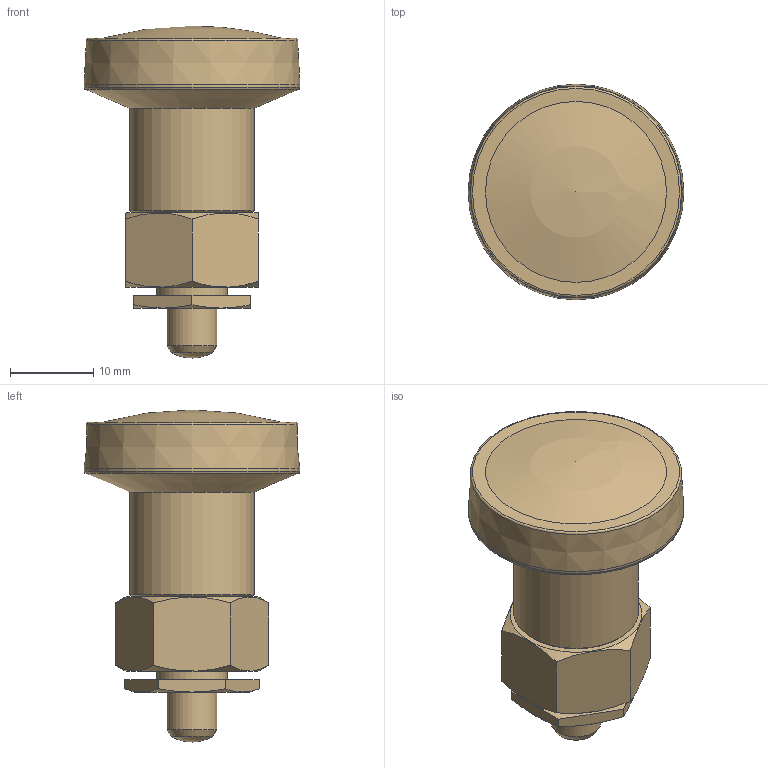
import cadquery as cq
import math

PIN_CONE_BOTTOM_Z = 0.65
PIN_CONE_TOP_Z = 1.5
LOCKNUT_BOTTOM_Z = 6.0
LOCKNUT_TOP_Z = 7.5
HEX_BOTTOM_Z = 8.5
HEX_TOP_Z = 17.5
KNOB_NECK_Z = 30.1
RIM_BOTTOM_Z = 32.4
RIM_BAND_BOTTOM_Z = 32.65
RIM_BAND_TOP_Z = 32.95
KNOB_FACE_Z = 38.5
TOTAL_HEIGHT = 40.0

PIN_DIAMETER = 6.0
PIN_CONE_END_DIAMETER = 5.0
SHANK_DIAMETER = 8.5
SLEEVE_DIAMETER = 15.0
RIM_DIAMETER = 26.0
KNOB_FACE_EDGE_DIAMETER = 25.45
DOME_DIAMETER = 21.8

HEX_ACROSS_FLATS = 16.0
HEX_CROWN_DIAMETER = 15.9
HEX_CROWN_ANGLE = 30.0
LOCKNUT_ACROSS_FLATS = 14.0
LOCKNUT_CROWN_DIAMETER = 13.9
LOCKNUT_CROWN_ANGLE = 20.0

FLATS_TO_X_TURN = 30.0

SLEEVE_CHAMFER = 0.25
KNOB_FACE_FILLET = 0.25
RIM_EDGE_STEP = 0.1


def revolve_profile(profile):
    """Turn a closed half profile (local x = radius, local y = height) about Z."""
    return profile.close().revolve(360, (0, 0, 0), (0, 1, 0))


def dome_point(end_radius, end_z, apex_z):
    """Point halfway along the arc of a spherical cap from its edge to its apex on the axis."""
    sag = apex_z - end_z
    sphere_radius = (end_radius**2 + sag**2) / (2 * abs(sag))
    half_angle = math.asin(end_radius / sphere_radius) / 2
    drop = math.copysign(sphere_radius * (1 - math.cos(half_angle)), sag)
    return sphere_radius * math.sin(half_angle), apex_z - drop


def make_knob():
    """Domed mushroom knob with a conical underside running down to the sleeve."""
    rim_radius = RIM_DIAMETER / 2
    face_edge_radius = KNOB_FACE_EDGE_DIAMETER / 2
    dome_radius = DOME_DIAMETER / 2
    profile = (
        cq.Workplane("XZ")
        .moveTo(0, KNOB_NECK_Z)
        .lineTo(SLEEVE_DIAMETER / 2, KNOB_NECK_Z)
        .lineTo(rim_radius - RIM_EDGE_STEP, RIM_BOTTOM_Z)
        .lineTo(rim_radius, RIM_BAND_BOTTOM_Z)
        .lineTo(rim_radius, RIM_BAND_TOP_Z)
        .lineTo(face_edge_radius, KNOB_FACE_Z - KNOB_FACE_FILLET)
        .radiusArc((face_edge_radius - KNOB_FACE_FILLET, KNOB_FACE_Z), -KNOB_FACE_FILLET)
        .lineTo(dome_radius, KNOB_FACE_Z)
        .threePointArc(dome_point(dome_radius, KNOB_FACE_Z, TOTAL_HEIGHT), (0, TOTAL_HEIGHT))
    )
    return revolve_profile(profile)


def make_sleeve():
    """Cylindrical grip between hexagon and knob, chamfered at its lower edge."""
    sleeve = (
        cq.Workplane("XY")
        .workplane(offset=HEX_TOP_Z)
        .circle(SLEEVE_DIAMETER / 2)
        .extrude(KNOB_NECK_Z - HEX_TOP_Z)
    )
    return sleeve.faces("<Z").edges().chamfer(SLEEVE_CHAMFER)


def make_pin():
    """Locking pin with a conical lead-in and a domed tip, topped by the wider shank."""
    pin_radius = PIN_DIAMETER / 2
    cone_end_radius = PIN_CONE_END_DIAMETER / 2
    shank_radius = SHANK_DIAMETER / 2
    profile = (
        cq.Workplane("XZ")
        .moveTo(0, 0)
        .threePointArc(
            dome_point(cone_end_radius, PIN_CONE_BOTTOM_Z, 0),
            (cone_end_radius, PIN_CONE_BOTTOM_Z),
        )
        .lineTo(pin_radius, PIN_CONE_TOP_Z)
        .lineTo(pin_radius, LOCKNUT_BOTTOM_Z)
        .lineTo(shank_radius, LOCKNUT_BOTTOM_Z)
        .lineTo(shank_radius, HEX_BOTTOM_Z)
        .lineTo(0, HEX_BOTTOM_Z)
    )
    return revolve_profile(profile)


def make_hexagon(across_flats, bottom_z, top_z, crown_diameter, crown_angle, crown_top):
    """Hexagonal prism with two flats facing +X and -X, its corners turned to a cone at the ends."""
    corner_radius = across_flats / math.sqrt(3)
    crown_radius = crown_diameter / 2
    crown_height = (corner_radius - crown_radius) * math.tan(math.radians(crown_angle))
    prism = (
        cq.Workplane("XY")
        .workplane(offset=bottom_z)
        .polygon(6, 2 * corner_radius)
        .extrude(top_z - bottom_z)
        .rotate((0, 0, 0), (0, 0, 1), FLATS_TO_X_TURN)
    )
    blank = (
        cq.Workplane("XZ")
        .moveTo(0, bottom_z)
        .lineTo(crown_radius, bottom_z)
        .lineTo(corner_radius, bottom_z + crown_height)
    )
    if crown_top:
        blank = blank.lineTo(corner_radius, top_z - crown_height).lineTo(crown_radius, top_z)
    else:
        blank = blank.lineTo(corner_radius, top_z)
    return prism.intersect(revolve_profile(blank.lineTo(0, top_z)))


body_hexagon = make_hexagon(
    HEX_ACROSS_FLATS, HEX_BOTTOM_Z, HEX_TOP_Z, HEX_CROWN_DIAMETER, HEX_CROWN_ANGLE, crown_top=True
)
locknut = make_hexagon(
    LOCKNUT_ACROSS_FLATS,
    LOCKNUT_BOTTOM_Z,
    LOCKNUT_TOP_Z,
    LOCKNUT_CROWN_DIAMETER,
    LOCKNUT_CROWN_ANGLE,
    crown_top=False,
)

result = make_pin().union(locknut).union(body_hexagon).union(make_sleeve()).union(make_knob())